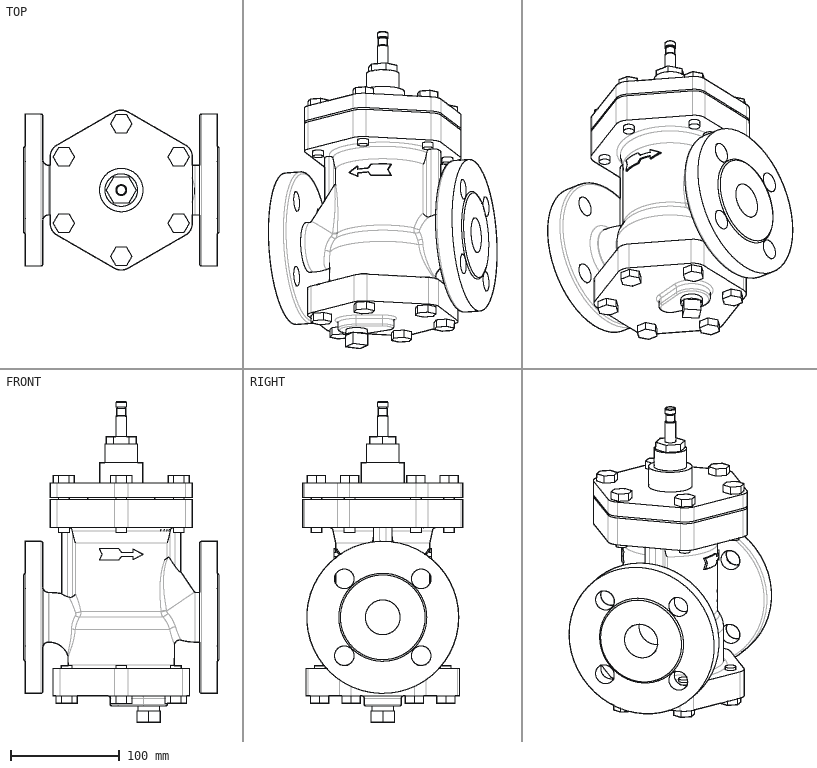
import cadquery as cq
import math


STEM_TOP = 198.3
SPINDLE_TOP = 166.3
COLLAR_TOP = 159.5
HUB_TOP = 142.4
COVER_TOP = 123.6
COVER_BOTTOM = 110.1
UPPER_FLANGE_TOP = 108.4
UPPER_FLANGE_BOTTOM = 82.6
LOWER_FLANGE_TOP = -46.9
BASE_BOTTOM = -72.2
PAD_BOTTOM = -81.6
PLUG_NECK_BOTTOM = -86.1
PLUG_BOTTOM = STEM_TOP - 295.0

UPPER_BOLT_RADIUS = 61.0
LOWER_BOLT_RADIUS = 58.0
CORNER_RADIUS = 147.34 / 2 - UPPER_BOLT_RADIUS
BOLT_DIAMETER = 10.0
BOLT_HEAD_FLATS = 17.0
BOLT_HEAD_HEIGHT = 6.9
UPPER_BOLT_TIP = 77.9
LOWER_BOLT_TIP = -44.5
GASKET_DIAMETER = 62.0

HUB_DIAMETER = 40.0
COLLAR_DIAMETER = 30.0
NUT_FLATS = 24.0
STEM_DIAMETER = 10.0
STEM_NECK_DIAMETER = 8.4
STEM_RELIEF_DIAMETER = 7.5
STEM_HEAD_DIAMETER = 9.95
STEM_SHOULDER = 185.1
STEM_RELIEF = 0.7
STEM_NECK_TOP = 192.3
STEM_HEAD_BOTTOM = 193.3
STEM_HEAD_CHAMFER = 0.8

LOWER_RADIUS = 98.0 / 2
UPPER_RADIUS = 43.4
SHOULDER_TOP = 5.5
SHOULDER_MIDDLE = 0.2
SHOULDER_BOTTOM = -11.3
FLARE_BOTTOM = 68.3
FLARE_TOP = 79.4
FLARE_RADIUS = 45.9
TOP_FILLET = UPPER_FLANGE_BOTTOM - FLARE_TOP
BASE_FILLET = 3.2

RIB_REACH = 54.8
RIB_WIDTH = 17.2
RIB_ROUND = 5.5
RIB_ROOT = 2.6

FACE_X = 180.0 / 2
RAISED_FACE = 1.5
FLANGE_BACK = 72.0
FLANGE_DIAMETER = 140.0
RAISED_DIAMETER = 81.0
RAISED_TIP_DIAMETER = 78.0
FLANGE_ROUND = 2.0
PORT_BORE = 32.0
PORT_DEPTH = 45.0
PORT_HOLE = 18.0
PORT_HOLE_RADIUS = 100.0 / 2
PORT_HOLES = 4
NECK_RADIUS = 23.0
INLET_BEND_X = 66.3
INLET_BEND_RADIUS = 41.0
INLET_BEND_ANGLE = 85.0
OUTLET_BEND_X = 67.9
OUTLET_BEND_RADIUS = 23.5
OUTLET_BEND_ANGLE = 56.0
OUTLET_BRANCH = 40.0
ROOT_RADIUS = 5.0
BLEND_RADIUS = 4.5
SEAM_NEAR_X = 30.0
SEAM_FAR_X = 60.0

PLUG_X = 25.2
PAD_RADIUS = 17.2
PAD_TIP_RADIUS = 10.2
PAD_BLEND = 2.5
PAD_ROUND = 1.5
PLUG_NECK_DIAMETER = 20.0
PLUG_DIAGONAL = 21.8

ARROW_Z = 57.9
ARROW_THICKNESS = 1.5
ARROW_TIP_X = 20.2
ARROW_HEAD_X = 10.9
ARROW_HEAD_HALF = 4.8
ARROW_SHAFT_HALF = 1.8
ARROW_SHAFT_X = 0.3
ARROW_PLATE_X = -2.4
ARROW_TAIL_X = -20.2
ARROW_NOTCH_X = -17.6
ARROW_PLATE_HALF = 5.3

OVERLAP = 5.0


def cylinder(diameter, bottom, top, x=0.0, y=0.0):
    return cq.Workplane("XY", origin=(x, y, bottom)).circle(diameter / 2).extrude(top - bottom)


def hexagon(flats, bottom, top, x=0.0, y=0.0):
    corners = flats / math.cos(math.pi / 6)
    return cq.Workplane("XY", origin=(x, y, bottom)).polygon(6, corners).extrude(top - bottom)


def hex_plate(bolt_radius, bottom, top):
    """Hexagonal plate with corners on +-Y, rounded about the bolt centres."""
    core = cq.Workplane("XY").workplane(offset=bottom).transformed(rotate=(0, 0, 30))
    return core.polygon(6, 2 * bolt_radius).offset2D(CORNER_RADIUS).extrude(top - bottom)


def bolt_places(radius):
    angles = [math.radians(30 + 60 * i) for i in range(6)]
    return [(radius * math.cos(a), radius * math.sin(a)) for a in angles]


def shoulder_point(level, radius, side):
    """Middle of one of the two arcs that join the upper and lower barrel, each tangent to its barrel."""
    height = abs(level - SHOULDER_MIDDLE)
    total = SHOULDER_TOP - SHOULDER_BOTTOM
    turn = 2 * math.atan((LOWER_RADIUS - UPPER_RADIUS) / total)
    arc_radius = height / math.sin(turn)
    inset = arc_radius * (1 - math.cos(turn / 2))
    return (radius + side * inset, level - side * arc_radius * math.sin(turn / 2))


def body_shell():
    """Barrel turned about Z: wide below, narrower above, flared under the upper flange."""
    lower_arc_mid = shoulder_point(SHOULDER_BOTTOM, LOWER_RADIUS, -1)
    upper_arc_mid = shoulder_point(SHOULDER_TOP, UPPER_RADIUS, 1)
    step = LOWER_RADIUS - UPPER_RADIUS
    share = (SHOULDER_MIDDLE - SHOULDER_BOTTOM) / (SHOULDER_TOP - SHOULDER_BOTTOM)
    diagonal = math.sqrt(0.5)
    foot_center = (LOWER_RADIUS + BASE_FILLET, LOWER_FLANGE_TOP + BASE_FILLET)
    profile = (
        cq.Workplane("XZ")
        .moveTo(0, LOWER_FLANGE_TOP)
        .lineTo(foot_center[0], LOWER_FLANGE_TOP)
        .threePointArc(
            (foot_center[0] - BASE_FILLET * diagonal, foot_center[1] - BASE_FILLET * diagonal),
            (LOWER_RADIUS, foot_center[1]),
        )
        .lineTo(LOWER_RADIUS, SHOULDER_BOTTOM)
        .threePointArc(lower_arc_mid, (LOWER_RADIUS - step * share, SHOULDER_MIDDLE))
        .threePointArc(upper_arc_mid, (UPPER_RADIUS, SHOULDER_TOP))
        .lineTo(UPPER_RADIUS, FLARE_BOTTOM)
        .lineTo(FLARE_RADIUS, FLARE_TOP)
        .threePointArc(
            (FLARE_RADIUS + TOP_FILLET * (1 - diagonal), FLARE_TOP + TOP_FILLET * diagonal),
            (FLARE_RADIUS + TOP_FILLET, UPPER_FLANGE_BOTTOM),
        )
        .lineTo(0, UPPER_FLANGE_BOTTOM)
        .close()
    )
    shell = profile.revolve(360, (0, 0, 0), (0, 1, 0))
    return shell.rotate((0, 0, 0), (0, 0, 1), 90)


def side_ribs():
    """Ribs on +-X, drawn out of the upper barrel with rounded corners and roots."""
    bar = cq.Workplane("XY").rect(2 * RIB_REACH, RIB_WIDTH).extrude(UPPER_FLANGE_BOTTOM)
    bar = bar.edges("|Z").fillet(RIB_ROUND)
    core = cylinder(2 * UPPER_RADIUS, 0, UPPER_FLANGE_BOTTOM).rotate((0, 0, 0), (0, 0, 1), 90)
    root_x = math.sqrt(UPPER_RADIUS**2 - (RIB_WIDTH / 2) ** 2)
    ribs = core.union(bar)
    for x in (-root_x, root_x):
        for y in (-RIB_WIDTH / 2, RIB_WIDTH / 2):
            root = cq.selectors.NearestToPointSelector((x, y, UPPER_FLANGE_BOTTOM / 2))
            ribs = ribs.edges(root).fillet(RIB_ROOT)
    return ribs


def inlet_neck():
    """Straight start flaring onto its flange, then an elbow turning down into the barrel."""
    root_center = (-FLANGE_BACK + ROOT_RADIUS, NECK_RADIUS + ROOT_RADIUS)
    root_middle = ROOT_RADIUS * math.sqrt(0.5)
    straight = (
        cq.Workplane("XZ")
        .moveTo(-FLANGE_BACK - OVERLAP, 0)
        .lineTo(-FLANGE_BACK - OVERLAP, root_center[1])
        .lineTo(-FLANGE_BACK, root_center[1])
        .threePointArc(
            (root_center[0] - root_middle, root_center[1] - root_middle),
            (root_center[0], NECK_RADIUS),
        )
        .lineTo(-INLET_BEND_X, NECK_RADIUS)
        .lineTo(-INLET_BEND_X, 0)
        .close()
        .revolve(360, (0, 0, 0), (1, 0, 0))
    )
    elbow = (
        cq.Workplane("YZ", origin=(-INLET_BEND_X, 0, 0))
        .circle(NECK_RADIUS)
        .revolve(INLET_BEND_ANGLE, (0, -INLET_BEND_RADIUS, 0), (1, -INLET_BEND_RADIUS, 0))
    )
    return straight.union(elbow)


def outlet_neck():
    """Straight start, then an elbow and a branch rising into the upper barrel."""
    straight = (
        cq.Workplane("YZ", origin=(OUTLET_BEND_X, 0, 0))
        .circle(NECK_RADIUS)
        .extrude(FLANGE_BACK + OVERLAP - OUTLET_BEND_X)
    )
    elbow = (
        cq.Workplane("YZ", origin=(OUTLET_BEND_X, 0, 0))
        .circle(NECK_RADIUS)
        .revolve(OUTLET_BEND_ANGLE, (0, OUTLET_BEND_RADIUS, 0), (1, OUTLET_BEND_RADIUS, 0))
    )
    turn = math.radians(OUTLET_BEND_ANGLE)
    elbow_end = cq.Plane(
        origin=(
            OUTLET_BEND_X - OUTLET_BEND_RADIUS * math.sin(turn),
            0,
            OUTLET_BEND_RADIUS * (1 - math.cos(turn)),
        ),
        xDir=(0, 1, 0),
        normal=(-math.cos(turn), 0, math.sin(turn)),
    )
    branch = cq.Workplane(elbow_end).circle(NECK_RADIUS).extrude(OUTLET_BRANCH)
    return straight.union(elbow).union(branch)


def join_neck(barrel, neck, side):
    """Join a neck to the barrel on the -X (side = -1) or +X (side = 1) side, with seam rounded."""
    near, far = sorted((side * SEAM_NEAR_X, side * SEAM_FAR_X))
    seam_box = cq.selectors.BoxSelector(
        (near, -UPPER_RADIUS, LOWER_FLANGE_TOP), (far, UPPER_RADIUS, FLARE_BOTTOM)
    )
    seam = seam_box & cq.selectors.TypeSelector("BSPLINE")
    return barrel.union(neck).edges(seam).fillet(BLEND_RADIUS)


def port_flange(side):
    """Flange on the -X (side = -1) or +X (side = 1) port."""
    thickness = FACE_X - RAISED_FACE - FLANGE_BACK
    disc = cq.Workplane("YZ").circle(FLANGE_DIAMETER / 2).extrude(thickness)
    disc = disc.edges("<X").fillet(FLANGE_ROUND)
    holes = (
        cq.Workplane("YZ")
        .polarArray(PORT_HOLE_RADIUS, 45, 360, PORT_HOLES)
        .circle(PORT_HOLE / 2)
        .extrude(thickness)
    )
    taper = math.degrees(math.atan((RAISED_DIAMETER - RAISED_TIP_DIAMETER) / 2 / RAISED_FACE))
    face = (
        cq.Workplane("YZ", origin=(thickness, 0, 0))
        .circle(RAISED_DIAMETER / 2)
        .extrude(RAISED_FACE, taper=taper)
    )
    flange = disc.cut(holes).union(face).translate((FLANGE_BACK, 0, 0))
    return flange if side > 0 else flange.mirror("YZ")


def port_bores():
    start = cq.Workplane("YZ", origin=(FACE_X - PORT_DEPTH, 0, 0))
    bore = start.circle(PORT_BORE / 2).extrude(PORT_DEPTH)
    return bore.union(bore.mirror("YZ"))


def flow_arrows():
    """Raised arrows that follow the barrel on both the -Y and +Y sides."""
    upper = [
        (ARROW_TAIL_X, ARROW_PLATE_HALF),
        (ARROW_PLATE_X, ARROW_PLATE_HALF),
        (ARROW_SHAFT_X, ARROW_SHAFT_HALF),
        (ARROW_HEAD_X, ARROW_SHAFT_HALF),
        (ARROW_HEAD_X, ARROW_HEAD_HALF),
    ]
    lower = [(x, -z) for x, z in reversed(upper)]
    outline = [(ARROW_NOTCH_X, 0)] + upper + [(ARROW_TIP_X, 0)] + lower
    reach = UPPER_RADIUS + OVERLAP
    prism = cq.Workplane("XZ", origin=(0, 0, ARROW_Z)).polyline(outline).close().extrude(reach, both=True)
    shell = cylinder(2 * (UPPER_RADIUS + ARROW_THICKNESS), SHOULDER_TOP, FLARE_BOTTOM)
    return prism.intersect(shell)


def bonnet():
    hub = cylinder(HUB_DIAMETER, COVER_TOP, HUB_TOP)
    collar = cylinder(COLLAR_DIAMETER, HUB_TOP, COLLAR_TOP)
    nut = hexagon(NUT_FLATS, COLLAR_TOP, SPINDLE_TOP)
    return hub.union(collar).union(nut)


def stem():
    spindle = cylinder(STEM_DIAMETER, SPINDLE_TOP, STEM_SHOULDER)
    relief = cylinder(STEM_RELIEF_DIAMETER, STEM_SHOULDER, STEM_HEAD_BOTTOM)
    neck = cylinder(STEM_NECK_DIAMETER, STEM_SHOULDER + STEM_RELIEF, STEM_NECK_TOP)
    head = cylinder(STEM_HEAD_DIAMETER, STEM_HEAD_BOTTOM, STEM_TOP)
    head = head.faces(">Z").chamfer(STEM_HEAD_CHAMFER)
    return spindle.union(relief).union(neck).union(head)


def drain_pad():
    """Pear-shaped pad: two circles joined by their common tangents."""
    lean = math.asin((PAD_RADIUS - PAD_TIP_RADIUS) / PLUG_X)
    along = math.sin(lean)
    across = math.cos(lean)
    big = (PLUG_X - PAD_RADIUS * along, PAD_RADIUS * across)
    small = (-PAD_TIP_RADIUS * along, PAD_TIP_RADIUS * across)
    return (
        cq.Workplane("XY", origin=(0, 0, PAD_BOTTOM))
        .moveTo(small[0], small[1])
        .lineTo(big[0], big[1])
        .threePointArc((PLUG_X + PAD_RADIUS, 0), (big[0], -big[1]))
        .lineTo(small[0], -small[1])
        .threePointArc((-PAD_TIP_RADIUS, 0), small)
        .close()
        .extrude(BASE_BOTTOM - PAD_BOTTOM)
        .faces("<Z")
        .edges()
        .fillet(PAD_ROUND)
    )


def base_with_pad():
    """Lower flange with the drain pad blended onto its underside."""
    base = hex_plate(LOWER_BOLT_RADIUS, BASE_BOTTOM, LOWER_FLANGE_TOP).union(drain_pad())
    reach = PLUG_X + PAD_RADIUS
    root = cq.selectors.BoxSelector(
        (-reach, -reach, BASE_BOTTOM - PAD_ROUND), (reach, reach, BASE_BOTTOM + PAD_ROUND)
    )
    return base.edges(root).edges("#Z").fillet(PAD_BLEND)


def drain_plug():
    neck = cylinder(PLUG_NECK_DIAMETER, PLUG_NECK_BOTTOM, PAD_BOTTOM, PLUG_X)
    square = (
        cq.Workplane("XY", origin=(PLUG_X, 0, PLUG_BOTTOM))
        .polygon(4, PLUG_DIAGONAL)
        .extrude(PLUG_NECK_BOTTOM - PLUG_BOTTOM)
    )
    return neck.union(square)


body = join_neck(body_shell(), inlet_neck(), -1)
body = join_neck(body, outlet_neck(), 1)
body = body.union(side_ribs())
for side in (-1, 1):
    body = body.union(port_flange(side))
body = body.cut(port_bores()).union(flow_arrows())

body = body.union(hex_plate(UPPER_BOLT_RADIUS, UPPER_FLANGE_BOTTOM, UPPER_FLANGE_TOP))
body = body.union(cylinder(GASKET_DIAMETER, UPPER_FLANGE_TOP, COVER_BOTTOM))
body = body.union(hex_plate(UPPER_BOLT_RADIUS, COVER_BOTTOM, COVER_TOP))
body = body.union(base_with_pad())
body = body.union(drain_plug()).union(bonnet()).union(stem())

for x, y in bolt_places(UPPER_BOLT_RADIUS):
    body = body.union(cylinder(BOLT_DIAMETER, UPPER_BOLT_TIP, COVER_TOP, x, y))
    body = body.union(hexagon(BOLT_HEAD_FLATS, COVER_TOP, COVER_TOP + BOLT_HEAD_HEIGHT, x, y))
for x, y in bolt_places(LOWER_BOLT_RADIUS):
    body = body.union(cylinder(BOLT_DIAMETER, BASE_BOTTOM, LOWER_BOLT_TIP, x, y))
    body = body.union(hexagon(BOLT_HEAD_FLATS, BASE_BOTTOM - BOLT_HEAD_HEIGHT, BASE_BOTTOM, x, y))

result = body